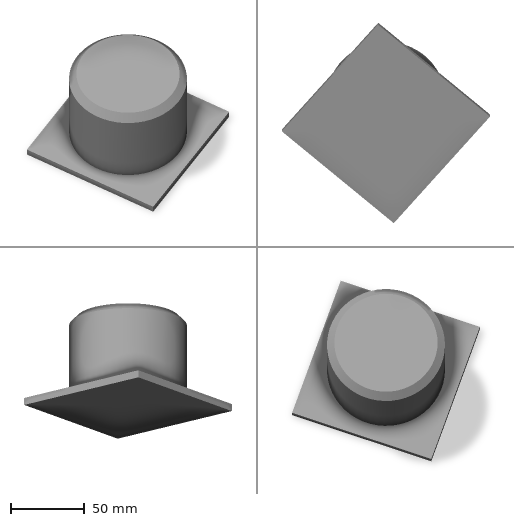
import cadquery as cq

plate_side = 100.0
plate_thickness = 5.0

boss_diameter = 80.0
total_height = 63.5
boss_height = total_height - plate_thickness
chamfer_size = 5.0

plate = cq.Workplane("XY").box(plate_side, plate_side, plate_thickness, centered=(True, True, False))

boss = (
    cq.Workplane("XY")
    .workplane(offset=plate_thickness)
    .circle(boss_diameter / 2)
    .extrude(boss_height)
    .faces(">Z")
    .edges()
    .chamfer(chamfer_size)
)

result = plate.union(boss)